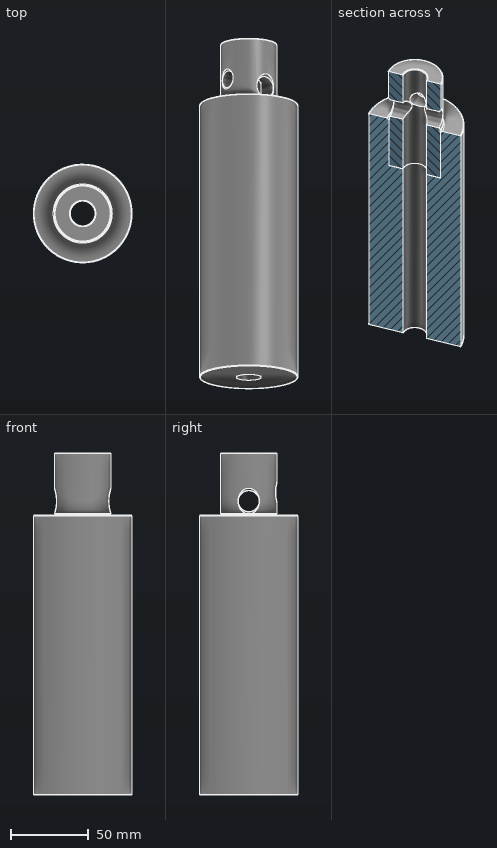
import cadquery as cq

total_height = 220.0
bore_diameter = 16.0
bore_radius = bore_diameter / 2

sleeve_diameter = 63.5
sleeve_height = 180.0
sleeve_edge_chamfer = 0.5

stem_diameter = 36.5
stem_radius = stem_diameter / 2
stem_edge_chamfer = 0.5
shoulder_chamfer = 0.75
neck_gap = 0.45
shoulder_bottom = sleeve_height + neck_gap
spigot_radius = stem_radius - shoulder_chamfer
spigot_depth = 40.0
spigot_bottom = sleeve_height - spigot_depth

socket_mouth_radius = 19.0
socket_mouth_depth = socket_mouth_radius - spigot_radius

cross_hole_radius = 6.75
cross_hole_mouth_radius = 8.25
cross_hole_height = 189.0
side_hole_radius = 5.5
side_hole_mouth_radius = 6.5
side_hole_height = 194.6


def make_sleeve():
    """Thick tube with chamfered rims and a countersunk socket that seats the spigot."""
    body = (
        cq.Workplane("XY")
        .circle(sleeve_diameter / 2)
        .extrude(sleeve_height)
        .edges()
        .chamfer(sleeve_edge_chamfer)
    )
    bore = cq.Workplane("XY").circle(bore_radius).extrude(sleeve_height)
    socket = (
        cq.Workplane("XZ")
        .moveTo(0, spigot_bottom)
        .lineTo(spigot_radius, spigot_bottom)
        .lineTo(spigot_radius, sleeve_height - socket_mouth_depth)
        .lineTo(socket_mouth_radius, sleeve_height)
        .lineTo(0, sleeve_height)
        .close()
        .revolve(360, (0, 0), (0, 1))
    )
    return body.cut(bore).cut(socket)


def make_stem_blank():
    """Bored stem with a chamfered shoulder above the spigot."""
    return (
        cq.Workplane("XZ")
        .moveTo(bore_radius, spigot_bottom)
        .lineTo(spigot_radius, spigot_bottom)
        .lineTo(spigot_radius, shoulder_bottom)
        .lineTo(stem_radius, shoulder_bottom + shoulder_chamfer)
        .lineTo(stem_radius, total_height)
        .lineTo(bore_radius, total_height)
        .close()
        .revolve(360, (0, 0), (0, 1))
        .faces(">Z")
        .edges()
        .chamfer(stem_edge_chamfer)
    )


def make_drill(radius, mouth_radius, height, angle):
    """Countersunk drill from the stem axis outwards, turned by an angle from +X about Z."""
    countersink_start = stem_radius - (mouth_radius - radius)
    return (
        cq.Workplane("XY")
        .lineTo(0, radius)
        .lineTo(countersink_start, radius)
        .lineTo(stem_radius, mouth_radius)
        .lineTo(stem_radius, 0)
        .close()
        .revolve(360, (0, 0), (1, 0))
        .rotate((0, 0, 0), (0, 0, 1), angle)
        .translate((0, 0, height))
    )


def make_stem():
    """Stem with a cross hole through both X sides and a side hole on +Y."""
    stem = make_stem_blank()
    for angle in (0, 180):
        stem = stem.cut(make_drill(cross_hole_radius, cross_hole_mouth_radius, cross_hole_height, angle))
    return stem.cut(make_drill(side_hole_radius, side_hole_mouth_radius, side_hole_height, 90))


sleeve = make_sleeve()
stem = make_stem()

result = cq.Compound.makeCompound([sleeve.val(), stem.val()])